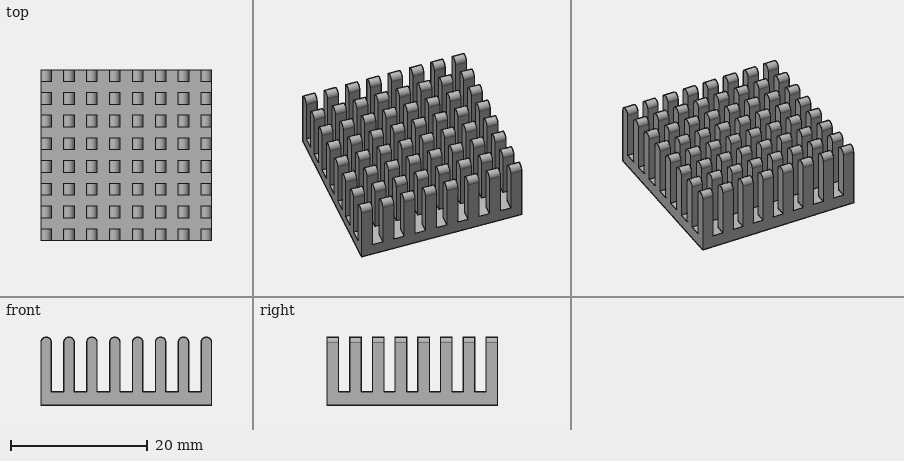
import cadquery as cq

side = 25.0
height = 10.0
base_thickness = 2.0

pins_per_side = 8
pin_width = 1.55
pin_depth = 1.72
crown_radius = pin_width / 2

pitch_x = (side - pin_width) / (pins_per_side - 1)
pitch_y = (side - pin_depth) / (pins_per_side - 1)


def finned_block():
    """Base plate carrying full-length fins with half-round crowns."""
    block = cq.Workplane("XY").box(side, side, base_thickness, centered=(True, True, False))
    shoulder_height = height - crown_radius
    for column in range(pins_per_side):
        left = -side / 2 + column * pitch_x
        right = left + pin_width
        fin = (
            cq.Workplane("XZ", origin=(0, side / 2, 0))
            .moveTo(left, 0)
            .lineTo(right, 0)
            .lineTo(right, shoulder_height)
            .threePointArc((left + crown_radius, height), (left, shoulder_height))
            .close()
            .extrude(side)
        )
        block = block.union(fin)
    return block


def cross_channels():
    """Channels along X, down to the base, that divide the fins into pins."""
    channel_width = pitch_y - pin_depth
    first_channel_y = -side / 2 + pin_depth + channel_width / 2
    centers = [(0, first_channel_y + row * pitch_y) for row in range(pins_per_side - 1)]
    return (
        cq.Workplane("XY", origin=(0, 0, base_thickness))
        .pushPoints(centers)
        .rect(side, channel_width)
        .extrude(height - base_thickness)
    )


result = finned_block().cut(cross_channels())